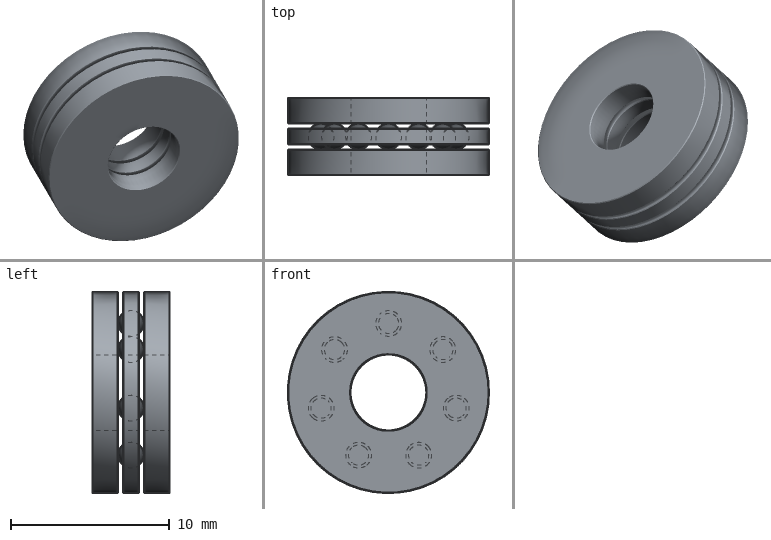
import cadquery as cq
import math

outer_diameter = 12.7
bore_diameter = 4.75
total_width = 4.9
ball_diameter = 1.63
ball_count = 7
cage_width = 1.02
edge_chamfer = 0.05

washer_width = (total_width - ball_diameter) / 2
pitch_radius = (outer_diameter + bore_diameter) / 4


def flat_ring(width, center_y):
    """Ring around the Y axis with all four circular edges chamfered."""
    return (
        cq.Workplane("XZ")
        .circle(outer_diameter / 2)
        .circle(bore_diameter / 2)
        .extrude(width)
        .edges("%CIRCLE")
        .chamfer(edge_chamfer)
        .translate((0, center_y + width / 2, 0))
    )


def make_ball(index):
    """Ball on the pitch circle, counted from the +Z direction."""
    angle = 2 * math.pi * index / ball_count
    center = (pitch_radius * math.sin(angle), 0, pitch_radius * math.cos(angle))
    return cq.Workplane("XY").sphere(ball_diameter / 2).translate(center)


def make_cage(balls):
    """Middle ring with a spherical pocket fitting each ball."""
    cage = flat_ring(cage_width, 0)
    for ball in balls:
        cage = cage.cut(ball)
    return cage


washer_offset = (ball_diameter + washer_width) / 2
washers = [flat_ring(washer_width, side * washer_offset) for side in (-1, 1)]

balls = [make_ball(index) for index in range(ball_count)]
cage = make_cage(balls)

result = cq.Compound.makeCompound([body.val() for body in [*washers, cage, *balls]])